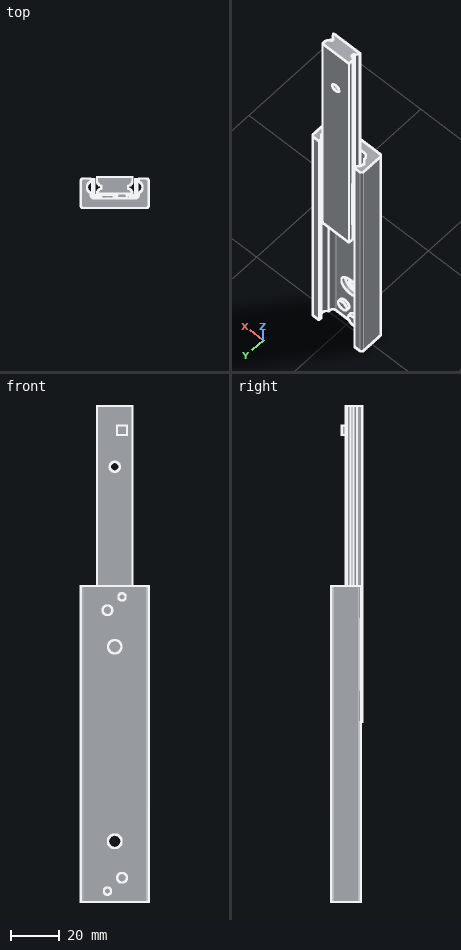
import cadquery as cq


rail_length = 130.0
travel = 74.0
slider_length = 130.0
slider_bottom = travel
slider_top = slider_bottom + slider_length
total_depth = 12.9

rail_width = 28.0
rail_depth = 12.3
floor_depth = 4.0
channel_half_width = 9.9
channel_corner_radius = 1.9
outer_edge_radius = 1.0

race_depth = 8.6
race_offset = 9.0
race_radius = 2.4

slider_back = 6.0
slider_half_width = 7.4
groove_half_height = 2.15
groove_bottom = 6.3
slot_half_height = 0.65
slot_bottom = 5.6

cage_half_width = 9.4
cage_thickness = 1.0
cage_back = 4.4
cage_tip = 12.1
cage_corner_radius = 1.8
cage_end_corner = 0.5
cage_bottom = 87.0
cage_top = 117.0

rail_hole_diameter = 5.5
counterbore_diameter = 10.0
counterbore_seat = 1.8
slider_hole_diameter = 4.0
hole_end_distance = 25.0

pin_offset = 3.0
stop_pin_diameter = 4.0
stop_pin_head_diameter = 5.0
stop_pin_end_distance = 10.0
cage_pin_diameter = 3.0
cage_pin_head_diameter = 6.4
cage_pin_head_taper = 10.0
cage_pin_recess = 0.3
cage_pin_end_distance = 4.5
pin_top = 5.5
stop_size = 4.0
stop_end_distance = 10.0
stop_end = 4.3


def box(x_min, x_max, y_min, y_max, z_min, z_max):
    """Block between the given limits."""
    size = (x_max - x_min, y_max - y_min, z_max - z_min)
    return cq.Workplane("XY").box(*size, centered=False).translate((x_min, y_min, z_min))


def rod(diameter, x, z, y_min, y_max):
    """Cylinder along Y."""
    return cq.Workplane("XZ", origin=(x, y_min, z)).circle(diameter / 2).extrude(y_min - y_max)


def make_stop_pin(x, z):
    """Headed pin, flush with the mounting face, that halts the slider's square stop."""
    shank = rod(stop_pin_diameter, x, z, 0, floor_depth)
    head = rod(stop_pin_head_diameter, x, z, floor_depth, pin_top)
    return shank.union(head)


def make_cage_pin(x, z):
    """Pin sunk below the mounting face, with a tapered head that keeps the cage in."""
    shank = rod(cage_pin_diameter, x, z, cage_pin_recess, floor_depth)
    head = cq.Workplane("XZ", origin=(x, floor_depth, z)).circle(cage_pin_head_diameter / 2)
    head = head.extrude(floor_depth - pin_top, taper=cage_pin_head_taper)
    return shank.union(head)


stop_pin_places = [
    (-pin_offset, rail_length - stop_pin_end_distance),
    (pin_offset, stop_pin_end_distance),
]
cage_pin_places = [
    (pin_offset, rail_length - cage_pin_end_distance),
    (-pin_offset, cage_pin_end_distance),
]
stop_places = [
    (pin_offset, slider_top - stop_end_distance),
    (-pin_offset, slider_bottom + stop_end_distance),
]


def make_rail():
    body = box(-rail_width / 2, rail_width / 2, 0, rail_depth, 0, rail_length)
    body = body.edges("|Z").fillet(outer_edge_radius)
    channel = box(-channel_half_width, channel_half_width, floor_depth, total_depth, 0, rail_length)
    channel = channel.edges("|Z and <Y").fillet(channel_corner_radius)
    body = body.cut(channel)
    raceways = cq.Workplane("XY").pushPoints([(-race_offset, race_depth), (race_offset, race_depth)])
    body = body.cut(raceways.circle(race_radius).extrude(rail_length))
    for z in (hole_end_distance, rail_length - hole_end_distance):
        body = body.cut(rod(rail_hole_diameter, 0, z, 0, floor_depth))
        body = body.cut(rod(counterbore_diameter, 0, z, counterbore_seat, floor_depth))
    for x, z in stop_pin_places:
        body = body.cut(rod(stop_pin_diameter, x, z, 0, floor_depth))
    for x, z in cage_pin_places:
        body = body.cut(rod(cage_pin_diameter, x, z, 0, floor_depth))
    return body


def make_slider():
    right_side = [
        (slider_half_width, slider_back),
        (slider_half_width, race_depth - groove_half_height),
        (groove_bottom, race_depth - slot_half_height),
        (slot_bottom, race_depth - slot_half_height),
        (slot_bottom, race_depth + slot_half_height),
        (groove_bottom, race_depth + slot_half_height),
        (slider_half_width, race_depth + groove_half_height),
        (slider_half_width, total_depth),
    ]
    left_side = [(-x, y) for x, y in reversed(right_side)]
    section = cq.Workplane("XY", origin=(0, 0, slider_bottom)).polyline(right_side + left_side)
    body = section.close().extrude(slider_length)
    z = slider_top - hole_end_distance
    return body.cut(rod(slider_hole_diameter, 0, z, slider_back, total_depth))


def make_cage():
    outer = box(-cage_half_width, cage_half_width, cage_back, cage_tip, cage_bottom, cage_top)
    outer = outer.edges("|Z and <Y").fillet(cage_corner_radius)
    outer = outer.edges("|X and >Y").chamfer(cage_end_corner)
    inner_half_width = cage_half_width - cage_thickness
    inside = box(
        -inner_half_width, inner_half_width, cage_back + cage_thickness, cage_tip, cage_bottom, cage_top
    )
    return outer.cut(inside)


def make_stop(x, z):
    """Square stop on the back face of the slider."""
    half = stop_size / 2
    return box(x - half, x + half, stop_end, slider_back, z - half, z + half)


rail = make_rail()
slider = make_slider()
cage = make_cage()
stop_pins = [make_stop_pin(x, z) for x, z in stop_pin_places]
cage_pins = [make_cage_pin(x, z) for x, z in cage_pin_places]
stops = [make_stop(x, z) for x, z in stop_places]

bodies = [rail, slider, cage, *stop_pins, *cage_pins, *stops]
result = cq.Compound.makeCompound([body.val() for body in bodies])